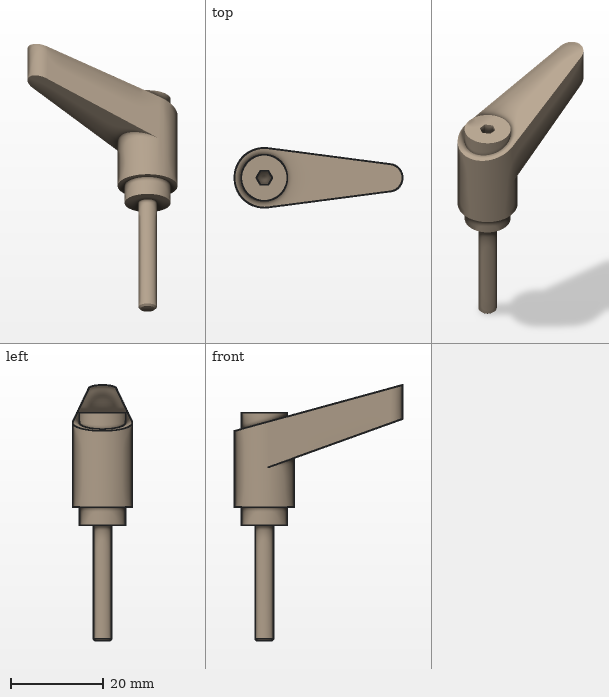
import cadquery as cq
import math

pin_radius = 2.0
pin_length = 25.0
pin_chamfer = 0.4

collar_radius = 5.0
collar_height = 4.0
cap_radius = 5.0
cap_top_z = 24.5

hub_radius = 6.5
tip_radius = 3.0
tip_center_x = 27.0
arm_end_x = tip_center_x + tip_radius
top_z_at_hub = 20.5
top_z_at_tip = 30.5
under_z_at_root = 12.6
under_z_at_tip = 23.1

socket_across_flats = 3.0
socket_across_corners = socket_across_flats / math.cos(math.pi / 6)
socket_depth = 2.5
socket_cone_angle = 120.0

flank_sin = (hub_radius - tip_radius) / tip_center_x
flank_cos = math.sqrt(1 - flank_sin**2)
root_x = hub_radius * flank_sin
root_y = hub_radius * flank_cos
flank_end_x = tip_center_x + tip_radius * flank_sin
flank_end_y = tip_radius * flank_cos


def cylinder(radius, bottom_z, top_z):
    return cq.Workplane("XY").workplane(offset=bottom_z).circle(radius).extrude(top_z - bottom_z)


def side_slab(points):
    """Prism of an XZ outline, as wide as the hub in Y."""
    return cq.Workplane("XZ").polyline(points).close().extrude(hub_radius, both=True)


def make_hub():
    envelope = side_slab([
        (-hub_radius, collar_height),
        (arm_end_x, collar_height),
        (arm_end_x, top_z_at_tip),
        (-hub_radius, top_z_at_hub),
    ])
    return cylinder(hub_radius, collar_height, top_z_at_tip).intersect(envelope)


def make_arm():
    plan = (
        cq.Workplane("XY")
        .moveTo(root_x, -root_y)
        .lineTo(flank_end_x, -flank_end_y)
        .threePointArc((arm_end_x, 0), (flank_end_x, flank_end_y))
        .lineTo(root_x, root_y)
        .close()
        .extrude(top_z_at_tip)
    )
    top_slope = (top_z_at_tip - top_z_at_hub) / (arm_end_x + hub_radius)
    top_z_at_root = top_z_at_hub + top_slope * (root_x + hub_radius)
    envelope = side_slab([
        (root_x, under_z_at_root),
        (arm_end_x, under_z_at_tip),
        (arm_end_x, top_z_at_tip),
        (root_x, top_z_at_root),
    ])
    return plan.intersect(envelope)


def make_pin():
    return cylinder(pin_radius, -pin_length, collar_height).faces("<Z").chamfer(pin_chamfer)


def make_socket():
    """Hexagonal cutter whose bottom is a cone through the hexagon corners."""
    corner_radius = socket_across_corners / 2
    cone_height = corner_radius / math.tan(math.radians(socket_cone_angle / 2))
    wall_bottom_z = cap_top_z - socket_depth
    cone_tip_z = wall_bottom_z - cone_height
    hexagon = (
        cq.Workplane("XY")
        .workplane(offset=cone_tip_z)
        .polygon(6, socket_across_corners)
        .extrude(cap_top_z - cone_tip_z)
    )
    drill = (
        cq.Workplane("XZ")
        .moveTo(0, cone_tip_z)
        .lineTo(corner_radius, wall_bottom_z)
        .lineTo(corner_radius, cap_top_z)
        .lineTo(0, cap_top_z)
        .close()
        .revolve(360, (0, 0, 0), (0, 1, 0))
    )
    return hexagon.intersect(drill)


collar = cylinder(collar_radius, 0, collar_height)
cap = cylinder(cap_radius, collar_height, cap_top_z)
lever = make_hub().union(make_arm())
result = lever.union(cap).union(collar).union(make_pin()).cut(make_socket())